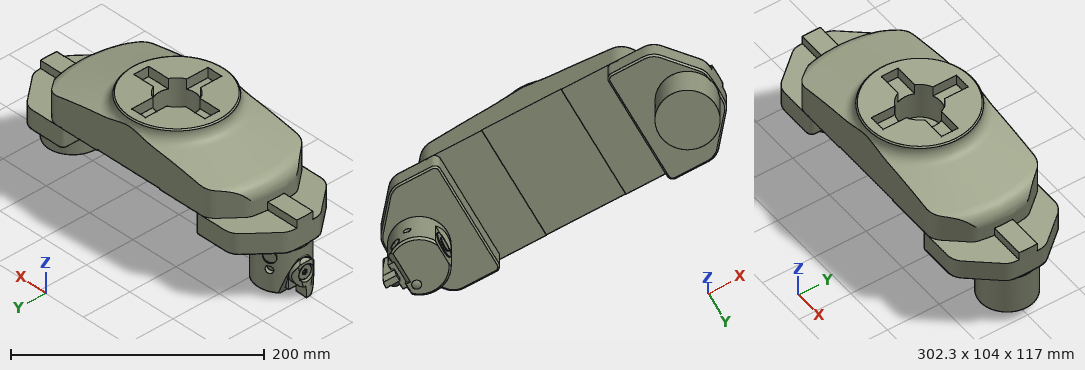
import cadquery as cq
import math


WIDTH = 104.0
FLANK_ANGLE = 50.0
SHOULDER_R = 16.5
END_CORNER_R = 15.0

BRIDGE_END_R = 114.8
BRIDGE_SHOULDER_X = 90.0
BRIDGE_HEIGHT = 50.0
BOSS_R = 50.5
BOSS_CHAMFER = 1.2
NECK_R = 12.0
CONE_ANGLE = 12.4
CONE_EDGE_R = 14.2
CENTRE_BORE_D = 40.0
CENTRE_BORE_DEPTH = 36.3
CROSS_SPAN = 82.2
CROSS_WIDTH = 16.0
CROSS_DEPTH = 10.0
RELIEF_LENGTH = 72.0
RELIEF_DEPTH = 1.0

SLIDE_END_R = 148.5
SLIDE_SHOULDER_X = 118.5
SLIDE_INNER_X = 76.2
SLIDE_INNER_R = 5.0
SLIDE_CHAMFER = 1.5
HEAD_SLIDE_THICKNESS = 21.5
WEIGHT_SLIDE_THICKNESS = 20.5
KEY_WIDTH = 17.5
KEY_HEIGHT = 8.0

WEIGHT_D = 51.5
WEIGHT_X = 122.5
WEIGHT_BOTTOM = -57.5

HEAD_D = 50.5
HEAD_R = HEAD_D / 2
HEAD_X = -123.0
HEAD_Y = 2.0
HEAD_BOTTOM = -62.5
HEAD_CHAMFER = 1.8
FEATURE_Z = -44.5
SLANT_ANGLE = 15.0
SLANT_TOP = -29.5
BACK_FLAT_X = -101.2
BACK_FLAT_TOP = -32.0
DIAL_D = 21.8
DIAL_HUB_D = 12.0
DIAL_STEP = 1.0
TOE_TOP = -57.0
TOE_Y = 10.0
SEAT_BOTTOM = -59.0
SEAT_ROOT = 1.5
SET_SCREW_X = -120.0
SET_SCREW_D = 6.3
SET_SCREW_DEPTH = 3.0
SET_SOCKET_D = 2.8
SET_SOCKET_DEPTH = 7.5
SIDE_HOLE_ANGLE = 115.0
SIDE_HOLES = [(-27.8, 12.0, 1.5), (-40.0, 7.3, 4.5)]
NOZZLE_ANGLE = 250.0
NOZZLE_Z = -55.0
NOZZLE_D = 10.0
NOZZLE_DOME_R = 11.0
NOZZLE_BULGE = 1.2
NOZZLE_BORE_D = 1.0
NOZZLE_BORE_DEPTH = 6.0
BUTTON_X = -132.5
BUTTON_Y = 14.5
BUTTON_D = 8.0
BUTTON_HEIGHT = 1.0

INSERT_D = 24.0
INSERT_TIP_X = -153.8
INSERT_FRONT_X = -151.5
INSERT_FRONT_R = 14.8
INSERT_FRONT_DROP = 1.8
INSERT_BACK_X = -144.5
INSERT_TIP_Z = -67.0
INSERT_TIP_Y = 3.5
HEEL_X = -141.5
HEEL_TOP = -61.3
HEEL_BOTTOM = -66.5
ARM_TOE_Y = -1.8
ARM_KNEE_Y = -5.0
ARM_KNEE_Z = -62.3
EDGE_TOP = -63.0
RECESS_D = 15.7
RECESS_DEPTH = 2.7
SCREW_HEAD_D = 13.5
SCREW_HEAD_DEPTH = 1.0
SHANK_D = 8.0
SHANK_END_X = -130.0
TORX_D = 5.0
TORX_LOBE_D = 1.5
TORX_LOBES = 6
TORX_DEPTH = 1.5


def slant_x(z):
    """X of the leaning insert face at height z."""
    return HEAD_X - HEAD_R + (SLANT_TOP - z) * math.tan(math.radians(SLANT_ANGLE))


def x_rod(x_start, x_end, diameter, y=HEAD_Y, z=FEATURE_Z):
    """Round rod along X, by default on the axis of the insert screw."""
    return cq.Workplane("YZ", origin=(x_start, y, z)).circle(diameter / 2).extrude(x_end - x_start)


def head_radial(angle, radius, z):
    """Workplane on the head at an azimuth, facing away from the head's axis."""
    direction = (math.cos(math.radians(angle)), math.sin(math.radians(angle)), 0)
    origin = (HEAD_X + radius * direction[0], HEAD_Y + radius * direction[1], z)
    return cq.Workplane(cq.Plane(origin=origin, xDir=(0, 0, 1), normal=direction))


def pointed_plate(end_radius, shoulder_x, z_bottom, z_top):
    """Plate with slanted flanks and ends rounded about the bridge axis."""
    half = WIDTH / 2
    point_x = shoulder_x + half / math.tan(math.radians(FLANK_ANGLE))
    plate = (
        cq.Workplane("XY", origin=(0, 0, z_bottom))
        .polyline([(-point_x, 0), (-shoulder_x, half), (shoulder_x, half),
                   (point_x, 0), (shoulder_x, -half), (-shoulder_x, -half)])
        .close()
        .extrude(z_top - z_bottom)
    )
    disc = cq.Workplane("XY", origin=(0, 0, z_bottom)).circle(end_radius).extrude(z_top - z_bottom)
    plate = plate.edges("|Z").edges(">Y or <Y").fillet(SHOULDER_R).intersect(disc)
    return plate.edges("|Z").edges("<X or >X").fillet(END_CORNER_R)


def bridge_top():
    """Turned envelope: boss, concave neck, conical top and rounded rim."""
    slope = math.radians(CONE_ANGLE)
    neck_top_z = BRIDGE_HEIGHT - BOSS_CHAMFER
    neck_centre_r = BOSS_R + NECK_R
    neck_end = (neck_centre_r - NECK_R * math.sin(slope), neck_top_z - NECK_R * math.cos(slope))
    neck_angle = math.pi + (math.pi / 2 - slope) / 2
    neck_mid = (neck_centre_r + NECK_R * math.cos(neck_angle), neck_top_z + NECK_R * math.sin(neck_angle))
    rim_centre_r = BRIDGE_END_R - CONE_EDGE_R
    rim_start_r = rim_centre_r + CONE_EDGE_R * math.sin(slope)
    rim_start_z = neck_end[1] - (rim_start_r - neck_end[0]) * math.tan(slope)
    rim_centre_z = rim_start_z - CONE_EDGE_R * math.cos(slope)
    rim_angle = (math.pi / 2 - slope) / 2
    rim_mid = (
        rim_centre_r + CONE_EDGE_R * math.cos(rim_angle),
        rim_centre_z + CONE_EDGE_R * math.sin(rim_angle),
    )
    profile = (
        cq.Workplane("XZ")
        .moveTo(0, 0)
        .lineTo(0, BRIDGE_HEIGHT)
        .lineTo(BOSS_R - BOSS_CHAMFER, BRIDGE_HEIGHT)
        .lineTo(BOSS_R, neck_top_z)
        .threePointArc(neck_mid, neck_end)
        .lineTo(rim_start_r, rim_start_z)
        .threePointArc(rim_mid, (BRIDGE_END_R, rim_centre_z))
        .lineTo(BRIDGE_END_R, 0)
        .close()
    )
    return profile.revolve(360, (0, 0, 0), (0, 1, 0))


def make_bridge():
    body = pointed_plate(BRIDGE_END_R, BRIDGE_SHOULDER_X, 0, BRIDGE_HEIGHT).intersect(bridge_top())
    bore = (
        cq.Workplane("XY", origin=(0, 0, BRIDGE_HEIGHT))
        .circle(CENTRE_BORE_D / 2)
        .extrude(-CENTRE_BORE_DEPTH)
    )
    cross = (
        cq.Workplane("XY", origin=(0, 0, BRIDGE_HEIGHT - CROSS_DEPTH))
        .rect(CROSS_SPAN, CROSS_WIDTH)
        .extrude(CROSS_DEPTH)
    )
    relief = cq.Workplane("XY").rect(RELIEF_LENGTH, WIDTH).extrude(RELIEF_DEPTH)
    return body.cut(bore).cut(cross).cut(cross.rotate((0, 0, 0), (0, 0, 1), 90)).cut(relief)


def make_slide(side, thickness):
    """Slide at one end of the bridge (side is -1 or 1), with its key up to the bridge end."""
    plate = pointed_plate(SLIDE_END_R, SLIDE_SHOULDER_X, -thickness, 0)
    reach = SLIDE_END_R - SLIDE_INNER_X
    middle_x = side * (SLIDE_END_R + SLIDE_INNER_X) / 2
    keep = cq.Workplane("XY", origin=(middle_x, 0, -thickness)).rect(reach, WIDTH).extrude(thickness)
    keep = keep.edges("|Z and " + ("<X" if side > 0 else ">X")).fillet(SLIDE_INNER_R)
    slide = plate.intersect(keep).faces("<Z").chamfer(SLIDE_CHAMFER)
    key = (
        cq.Workplane("XY", origin=(middle_x, 0, 0))
        .rect(reach, KEY_WIDTH)
        .extrude(KEY_HEIGHT)
        .intersect(cq.Workplane("XY").circle(SLIDE_END_R).circle(BRIDGE_END_R).extrude(KEY_HEIGHT))
    )
    return slide.union(key)


def make_counterweight():
    return (
        cq.Workplane("XY", origin=(WEIGHT_X, -HEAD_Y, WEIGHT_BOTTOM))
        .circle(WEIGHT_D / 2)
        .extrude(-WEIGHT_SLIDE_THICKNESS - WEIGHT_BOTTOM)
    )


def make_screw():
    head_x = INSERT_FRONT_X + SCREW_HEAD_DEPTH
    head_seat_x = INSERT_FRONT_X + RECESS_DEPTH
    screw = x_rod(head_x, head_seat_x, SCREW_HEAD_D).union(x_rod(head_seat_x, SHANK_END_X, SHANK_D))
    lobe_radius = (TORX_D - TORX_LOBE_D) / 2
    torx = x_rod(head_x, head_x + TORX_DEPTH, 2 * lobe_radius)
    for i in range(TORX_LOBES):
        angle = 2 * math.pi * i / TORX_LOBES
        lobe_y = HEAD_Y + lobe_radius * math.sin(angle)
        lobe_z = FEATURE_Z + lobe_radius * math.cos(angle)
        torx = torx.union(x_rod(head_x, head_x + TORX_DEPTH, TORX_LOBE_D, lobe_y, lobe_z))
    return screw.cut(torx)


def make_insert():
    """Round insert with a cutting arm that hangs below it."""
    radius = INSERT_D / 2
    top_z = FEATURE_Z + radius
    back_bend_z = SLANT_TOP - (INSERT_BACK_X - slant_x(SLANT_TOP)) / math.tan(math.radians(SLANT_ANGLE))
    side_profile = (
        cq.Workplane("XZ", origin=(0, HEAD_Y + radius, 0))
        .polyline([
            (INSERT_FRONT_X, top_z - INSERT_FRONT_DROP),
            (slant_x(top_z), top_z),
            (INSERT_BACK_X, back_bend_z),
            (INSERT_BACK_X, SEAT_BOTTOM),
            (HEEL_X, HEEL_TOP),
            (HEEL_X, HEEL_BOTTOM),
            (INSERT_TIP_X, INSERT_TIP_Z),
            (INSERT_TIP_X, EDGE_TOP),
        ])
        .close()
        .extrude(2 * radius)
    )
    disc = x_rod(INSERT_TIP_X, HEEL_X, INSERT_D)
    arm = (
        cq.Workplane("YZ", origin=(INSERT_TIP_X, 0, 0))
        .polyline([
            (INSERT_TIP_Y, FEATURE_Z),
            (INSERT_TIP_Y, INSERT_TIP_Z),
            (ARM_TOE_Y, HEEL_BOTTOM),
            (ARM_KNEE_Y, ARM_KNEE_Z),
            (HEAD_Y - radius, FEATURE_Z),
        ])
        .close()
        .extrude(HEEL_X - INSERT_TIP_X)
    )
    round_front = (
        cq.Workplane("XY", origin=(INSERT_TIP_X + INSERT_FRONT_R, HEAD_Y, INSERT_TIP_Z))
        .circle(INSERT_FRONT_R)
        .extrude(top_z - INSERT_TIP_Z)
    )
    recess = x_rod(INSERT_TIP_X, INSERT_FRONT_X + RECESS_DEPTH, RECESS_D)
    bore = x_rod(INSERT_TIP_X, SHANK_END_X, SHANK_D)
    return side_profile.intersect(disc.union(arm)).intersect(round_front).cut(recess).cut(bore)


def head_prism(points, y_start, y_end):
    """Prism along Y from an outline in X and Z."""
    return cq.Workplane("XZ", origin=(0, y_end, 0)).polyline(points).close().extrude(y_end - y_start)


def cut_back_flat(body):
    """Back flat with a 45 degree run-out, and the dial standing on it."""
    back_x = HEAD_X + HEAD_R
    run_out_top = BACK_FLAT_TOP + back_x - BACK_FLAT_X
    outline = [
        (BACK_FLAT_X, HEAD_BOTTOM),
        (BACK_FLAT_X, BACK_FLAT_TOP),
        (back_x, run_out_top),
        (back_x, HEAD_BOTTOM),
    ]
    dial = x_rod(BACK_FLAT_X, BACK_FLAT_X + DIAL_STEP, DIAL_D)
    hub = x_rod(BACK_FLAT_X, BACK_FLAT_X + 2 * DIAL_STEP, DIAL_HUB_D)
    return body.cut(head_prism(outline, HEAD_Y - HEAD_D, HEAD_Y + HEAD_D)).union(dial).union(hub)


def cut_insert_face(body):
    """Leaning insert face, the relief at its toe and the arched seat behind the insert."""
    outer_x = HEAD_X - HEAD_D
    face = [
        (slant_x(SLANT_TOP), SLANT_TOP),
        (slant_x(HEAD_BOTTOM), HEAD_BOTTOM),
        (outer_x, HEAD_BOTTOM),
        (outer_x, SLANT_TOP),
    ]
    toe_x = slant_x(TOE_TOP)
    toe = [
        (toe_x, TOE_TOP),
        (toe_x + TOE_TOP - HEAD_BOTTOM, HEAD_BOTTOM),
        (outer_x, HEAD_BOTTOM),
        (outer_x, TOE_TOP),
    ]
    body = body.cut(head_prism(face, HEAD_Y - HEAD_D, HEAD_Y + HEAD_D))
    body = body.cut(head_prism(toe, HEAD_Y - HEAD_D, TOE_Y))

    seat_back_x = slant_x(SEAT_BOTTOM) + SEAT_ROOT
    seat_height = FEATURE_Z - SEAT_BOTTOM
    seat_leg = (
        cq.Workplane("YZ", origin=(INSERT_BACK_X, HEAD_Y, SEAT_BOTTOM + seat_height / 2))
        .rect(INSERT_D, seat_height)
        .extrude(seat_back_x - INSERT_BACK_X)
    )
    return body.union(x_rod(INSERT_BACK_X, seat_back_x, INSERT_D)).union(seat_leg)


def cut_side_holes(body):
    """Set screw hole on the -Y side and two holes on the +Y side."""
    wall_y = HEAD_Y - math.sqrt(HEAD_R ** 2 - (SET_SCREW_X - HEAD_X) ** 2)
    for diameter, depth in ((SET_SCREW_D, SET_SCREW_DEPTH), (SET_SOCKET_D, SET_SOCKET_DEPTH)):
        hole = cq.Workplane("XZ", origin=(SET_SCREW_X, wall_y + depth, FEATURE_Z)).circle(diameter / 2)
        body = body.cut(hole.extrude(HEAD_D))
    for z, diameter, depth in SIDE_HOLES:
        hole = head_radial(SIDE_HOLE_ANGLE, HEAD_R - depth, z).circle(diameter / 2)
        body = body.cut(hole.extrude(HEAD_D))
    return body


def add_nozzle(body):
    """Domed nozzle with a fine bore, low on the -Y side."""
    dome_depth = HEAD_R + NOZZLE_BULGE - NOZZLE_DOME_R
    dome_workplane = head_radial(NOZZLE_ANGLE, dome_depth, NOZZLE_Z)
    dome = cq.Workplane("XY").sphere(NOZZLE_DOME_R).translate(dome_workplane.plane.origin.toTuple())
    nozzle = dome_workplane.circle(NOZZLE_D / 2).extrude(HEAD_D).intersect(dome)
    bore = head_radial(NOZZLE_ANGLE, HEAD_R - NOZZLE_BORE_DEPTH, NOZZLE_Z).circle(NOZZLE_BORE_D / 2)
    return body.union(nozzle).cut(bore.extrude(HEAD_D))


def add_button(body):
    """Shallow spherical cap on the underside of the head."""
    dome_r = ((BUTTON_D / 2) ** 2 + BUTTON_HEIGHT ** 2) / (2 * BUTTON_HEIGHT)
    dome_z = HEAD_BOTTOM - BUTTON_HEIGHT + dome_r
    dome = cq.Workplane("XY").sphere(dome_r).translate((BUTTON_X, BUTTON_Y, dome_z))
    core = cq.Workplane("XY", origin=(BUTTON_X, BUTTON_Y, dome_z)).circle(BUTTON_D / 2).extrude(-dome_r)
    return body.union(core.intersect(dome))


def make_head():
    body = (
        cq.Workplane("XY", origin=(HEAD_X, HEAD_Y, HEAD_BOTTOM))
        .circle(HEAD_R)
        .extrude(-HEAD_SLIDE_THICKNESS - HEAD_BOTTOM)
        .faces("<Z")
        .chamfer(HEAD_CHAMFER)
    )
    body = cut_back_flat(body)
    body = cut_insert_face(body)
    body = cut_side_holes(body)
    body = add_nozzle(body)
    body = add_button(body)
    return body.cut(x_rod(INSERT_TIP_X, SHANK_END_X, SHANK_D))


bridge = make_bridge()
head_slide = make_slide(-1, HEAD_SLIDE_THICKNESS)
weight_slide = make_slide(1, WEIGHT_SLIDE_THICKNESS)
counterweight = make_counterweight()
screw = make_screw()
insert = make_insert()
head = make_head()

result = cq.Compound.makeCompound([
    bridge.val(), head_slide.val(), weight_slide.val(), counterweight.val(),
    head.val(), insert.val(), screw.val(),
])